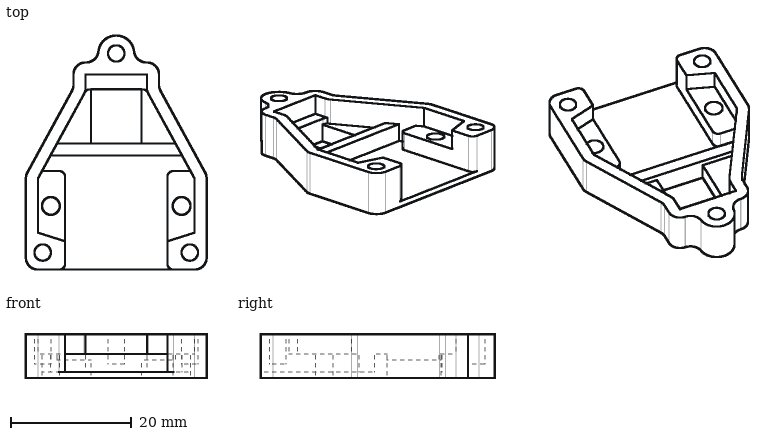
import cadquery as cq
import math

height = 7.3
length = 38.77
width = 29.95
half_width = width / 2
wall = 2.0
floor_height = 1.0

inner_half_width = half_width - wall
shoulder_y = 15.1
neck_y = 29.55
neck_half_width = 5.08
inner_rear_y = 32.3
neck_radius = wall

lug_radius = 3.0
lug_y = length - lug_radius
lug_blend_radius = 2.0

ledge_height = 4.0
ledge_front_y = 29.85
ledge_corner_radius = 1.0
rib_front_y = 18.9
rib_rear_y = rib_front_y + wall
deck_height = 3.0
window_half_width = 4.15

pad_height = ledge_height
pad_inner_x = 8.45
pad_rear_y = 16.32
pad_corner_radius = 1.0
post_outer_y = 6.13
post_inner_y = 4.7

through_diameter = 2.9
through_x = 10.8
through_y = 10.55
blind_diameter = 2.7
blind_x = 12.17
blind_y = 2.83
blind_depth = 5.0


def prism(points, bottom, top):
    """Upright prism over a closed outline."""
    return cq.Workplane("XY").workplane(offset=bottom).polyline(points).close().extrude(top - bottom)


def with_mirror_image(points):
    """Complete a right-hand outline with its mirror image about X = 0."""
    return points + [(-x, y) for x, y in reversed(points)]


def inner_outline(front_y):
    return with_mirror_image([
        (inner_half_width, front_y),
        (inner_half_width, shoulder_y),
        (neck_half_width, neck_y),
        (neck_half_width, inner_rear_y),
    ])


def slab(half_x, front_y, rear_y, bottom, top):
    """Block centred on X = 0."""
    return prism(with_mirror_image([(half_x, front_y), (half_x, rear_y)]), bottom, top)


def round_upright_edges(shape, points, radius):
    """Round the upright edges that pass through the given XY points."""
    reach = 0.05
    for x, y in points:
        near_point = cq.selectors.BoxSelector(
            (x - reach, y - reach, 0), (x + reach, y + reach, height)
        )
        shape = shape.edges("|Z").edges(near_point).fillet(radius)
    return shape


def make_body():
    """Solid outer block, its convex corners rounded by the wall offset."""
    body = cq.Workplane("XY").polyline(inner_outline(wall)).close().offset2D(wall).extrude(height)
    taper_tilt = math.atan2(inner_half_width - neck_half_width, neck_y - shoulder_y)
    outer_neck = (neck_half_width + wall, neck_y + wall * math.tan(taper_tilt / 2))
    return round_upright_edges(body, with_mirror_image([outer_neck]), neck_radius)


def make_lug():
    """Round screw lug with concave blends onto the rear wall."""
    rear_y = inner_rear_y + wall
    blend_y = rear_y + lug_blend_radius
    centre_distance = lug_radius + lug_blend_radius
    blend_x = math.sqrt(centre_distance**2 - (blend_y - lug_y) ** 2)
    lug = cq.Workplane("XY").center(0, lug_y).circle(lug_radius).extrude(height)
    touch_y = lug_y + (blend_y - lug_y) * lug_radius / centre_distance
    touch_x = blend_x * lug_radius / centre_distance
    flank = prism(
        with_mirror_image([(blend_x, inner_rear_y), (blend_x, rear_y), (touch_x, touch_y)]), 0, height
    )
    blends = (
        cq.Workplane("XY")
        .pushPoints([(blend_x, blend_y), (-blend_x, blend_y)])
        .circle(lug_blend_radius)
        .extrude(height)
    )
    return flank.cut(blends).union(lug)


def make_cavity():
    """Everything inside the walls above the floor, open at the front."""
    cavity = prism(inner_outline(0), floor_height, height)
    return round_upright_edges(cavity, with_mirror_image([(neck_half_width, neck_y)]), neck_radius)


def make_ledge():
    """Raised step across the rear, with rounded inside corners at the side walls."""
    block = slab(neck_half_width, neck_y - wall, inner_rear_y, 0, ledge_height)
    taper_slope = (inner_half_width - neck_half_width) / (shoulder_y - neck_y)
    corner_x = neck_half_width + (ledge_front_y - neck_y) * taper_slope
    front_x = neck_half_width - wall * taper_slope
    recess_corners = with_mirror_image([(corner_x, ledge_front_y)])
    recess = prism(
        with_mirror_image([(front_x, neck_y - wall), (corner_x, ledge_front_y)]), 0, ledge_height
    )
    return block.cut(round_upright_edges(recess, recess_corners, ledge_corner_radius))


def make_front_block(side):
    """Low mounting pad and full-height front post on one side (side is 1 or -1)."""
    pad = prism(
        [
            (side * pad_inner_x, 0),
            (side * half_width, 0),
            (side * half_width, pad_rear_y),
            (side * pad_inner_x, pad_rear_y),
        ],
        0,
        height,
    )
    pad = round_upright_edges(
        pad, [(side * pad_inner_x, 0), (side * pad_inner_x, pad_rear_y)], pad_corner_radius
    )
    space_above_pad = prism(
        [
            (side * pad_inner_x, post_inner_y),
            (side * inner_half_width, post_outer_y),
            (side * half_width, post_outer_y),
            (side * half_width, pad_rear_y),
            (side * pad_inner_x, pad_rear_y),
        ],
        pad_height,
        height,
    )
    return pad.cut(space_above_pad)


body = make_body().union(make_lug())

interior = slab(inner_half_width, rib_front_y, rib_rear_y, 0, ledge_height)
interior = interior.union(slab(inner_half_width, rib_rear_y, ledge_front_y, 0, deck_height))
interior = interior.union(make_ledge())
for side in (1, -1):
    interior = interior.union(make_front_block(side))

cavity = make_cavity()
housing = body.cut(cavity).union(interior.intersect(cavity).intersect(body))

housing = housing.cut(slab(window_half_width, rib_rear_y, ledge_front_y, 0, ledge_height))

through_holes = (
    cq.Workplane("XY")
    .pushPoints([(through_x, through_y), (-through_x, through_y)])
    .circle(through_diameter / 2)
    .extrude(height)
)

blind_holes = (
    cq.Workplane("XY")
    .workplane(offset=height - blind_depth)
    .pushPoints([(blind_x, blind_y), (-blind_x, blind_y), (0, lug_y)])
    .circle(blind_diameter / 2)
    .extrude(blind_depth)
)

result = housing.cut(through_holes).cut(blind_holes)